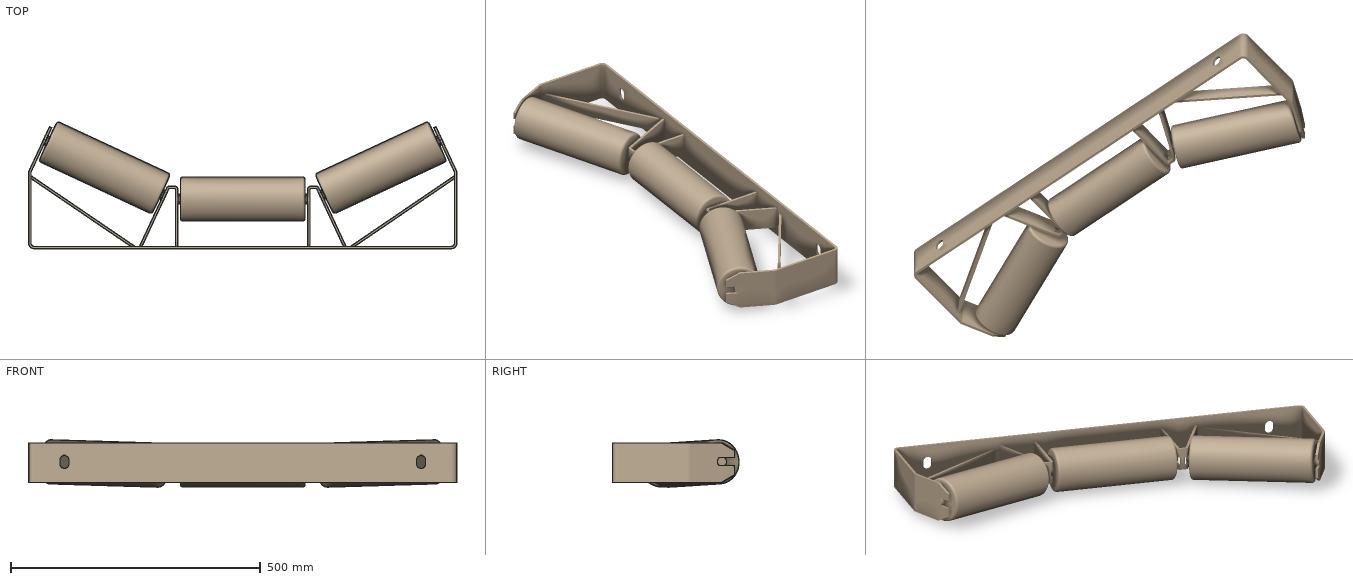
import cadquery as cq
import math

frame_length = 860.0
frame_height = 80.0
strip = 5.0
bend_outer_radius = 12.0
bend_inner_radius = bend_outer_radius - strip

roller_diameter = 89.0
roller_length = 250.0
roller_rounding = 5.0
roller_gap = 5.0
shaft_diameter = 20.0
shaft_flats = 16.0
seat_face = roller_length / 2 + roller_gap
seat_back = seat_face + strip
seat_overrun = 1.0

middle_y = 100.0
middle_z = -4.5
side_x = 277.3
side_y = 162.92
side_z = -1.6
side_swing = 25.0
side_dip = 1.577

wing_tip = 28.0
tip_cut_length = 28.0
tip_cut_height = 15.0

support_height = 45.0
support_top = 126.0
support_bend_outer_radius = 7.0
support_bend_inner_radius = support_bend_outer_radius - strip

brace_height = 30.0
brace_thickness = 5.0
brace_foot_x = 216.0
brace_head_y = 147.0

slot_x = 358.0
slot_z = 1.5
slot_width = 18.0
slot_height = 26.0

frame_end = frame_length / 2
frame_end_inside = frame_end - strip
swing_sin = math.sin(math.radians(side_swing))
swing_cos = math.cos(math.radians(side_swing))
swing_tan = swing_sin / swing_cos


def side_point(along, across):
    """Plan point at a distance outward along the right roller's axis and forward across it."""
    x = side_x + along * swing_cos - across * swing_sin
    y = side_y + along * swing_sin + across * swing_cos
    return (x, y)


def crossing_at_y(along, y):
    """Plan point at the given y on the line that crosses the right roller's axis squarely."""
    x0, y0 = side_point(along, 0)
    return (x0 - (y - y0) * swing_tan, y)


def crossing_at_x(along, x):
    """Plan point at the given x on the line that crosses the right roller's axis squarely."""
    x0, y0 = side_point(along, 0)
    return (x, y0 - (x - x0) / swing_tan)


def upright(outline, height):
    """Plan outline extruded to a height centred on z = 0."""
    return cq.Workplane("XY").polyline(outline).close().extrude(height / 2, both=True)


def round_upright_edge(body, point, radius):
    """Fillet the vertical edge that stands at a plan point."""
    edge = cq.selectors.NearestToPointSelector((*point, 0))
    return body.edges("|Z").edges(edge).fillet(radius)


def place_side(body):
    """Move a body from the X axis onto the right roller's axis."""
    dipped = body.rotate((0, 0, 0), (0, 1, 0), -side_dip)
    swung = dipped.rotate((0, 0, 0), (0, 0, 1), side_swing)
    return swung.translate((side_x, side_y, side_z))


def place_middle(body):
    """Move a body from the X axis onto the middle roller's axis."""
    return body.translate((0, middle_y, middle_z))


def along_x(length):
    """Workplane square to X, placed so that an extrusion of this length is centred on the origin."""
    return cq.Workplane("YZ", origin=(-length / 2, 0, 0))


def shaft(length):
    bar = along_x(length).circle(shaft_diameter / 2).extrude(length)
    flats = cq.Workplane("XY").box(length, shaft_diameter, shaft_flats)
    return bar.intersect(flats)


def roller():
    drum = along_x(roller_length).circle(roller_diameter / 2).extrude(roller_length)
    drum = drum.edges("%CIRCLE").fillet(roller_rounding)
    return drum.union(shaft(2 * seat_back))


def shaft_seat():
    """Room for a shaft that drops into notches open to the front (+Y), cut clean through."""
    length = 2 * (seat_back + seat_overrun)
    reach = roller_diameter
    opening = cq.Workplane("XY").box(length, reach, shaft_flats)
    return shaft(length).union(opening.translate((0, reach / 2, 0)))


def wing_tip_cuts():
    """Prisms that take the upper and lower corners off the right wing."""
    edge_z = frame_height / 2
    x, y = side_point(0, 0)
    along_wing = (-swing_sin, swing_cos, 0)
    roller_axis = (swing_cos, swing_sin, 0)
    across_wing = cq.Plane(origin=(x, y, 0), xDir=along_wing, normal=roller_axis)
    corner = [(wing_tip, edge_z), (wing_tip - tip_cut_length, edge_z), (wing_tip, edge_z - tip_cut_height)]
    upper = cq.Workplane(across_wing).polyline(corner).close().extrude(2 * seat_back)
    return upper.union(upper.mirror("XY"))


def right_strip():
    """Right half of the back plate with its end and wing."""
    corner = (frame_end, 0)
    corner_inside = (frame_end_inside, strip)
    wing_bend = crossing_at_x(seat_back, frame_end)
    wing_bend_inside = crossing_at_x(seat_face, frame_end_inside)
    outline = [
        (0, 0),
        corner,
        wing_bend,
        side_point(seat_back, wing_tip),
        side_point(seat_face, wing_tip),
        wing_bend_inside,
        corner_inside,
        (0, strip),
    ]
    body = upright(outline, frame_height)
    for point in (corner, wing_bend):
        body = round_upright_edge(body, point, bend_outer_radius)
    for point in (corner_inside, wing_bend_inside):
        body = round_upright_edge(body, point, bend_inner_radius)
    slot = cq.Workplane("XZ").center(slot_x, slot_z).slot2D(slot_height, slot_width, 90).extrude(-strip)
    return body.cut(wing_tip_cuts()).cut(slot)


def right_support():
    """Folded strip with one leg beside the middle roller and one beside the right roller."""
    top_inside = support_top - strip
    outer_bends = [(seat_face, support_top), crossing_at_y(-seat_face, support_top)]
    inner_bends = [crossing_at_y(-seat_back, top_inside), (seat_back, top_inside)]
    outline = [
        (seat_face, strip),
        *outer_bends,
        crossing_at_y(-seat_face, strip),
        crossing_at_y(-seat_back, strip),
        *inner_bends,
        (seat_back, strip),
    ]
    body = upright(outline, support_height)
    for point in outer_bends:
        body = round_upright_edge(body, point, support_bend_outer_radius)
    for point in inner_bends:
        body = round_upright_edge(body, point, support_bend_inner_radius)
    return body


def right_brace():
    """Flat bar from the back plate to the frame end."""
    slope = math.atan2(brace_head_y - strip, frame_end_inside - brace_foot_x)
    outline = [
        (brace_foot_x, strip),
        (frame_end_inside, brace_head_y),
        (frame_end_inside, brace_head_y - brace_thickness / math.cos(slope)),
        (brace_foot_x + brace_thickness / math.sin(slope), strip),
    ]
    return upright(outline, brace_height)


def welded_frame():
    """Strip, supports and braces as one body, with open seats for the shafts."""
    right_half = right_strip().union(right_support()).union(right_brace())
    right_half = right_half.cut(place_side(shaft_seat())).cut(place_middle(shaft_seat()))
    return right_half.union(right_half.mirror("YZ"))


frame = welded_frame()
middle_roller = place_middle(roller())
right_roller = place_side(roller())
left_roller = right_roller.mirror("YZ")

result = cq.Compound.makeCompound([frame.val(), middle_roller.val(), right_roller.val(), left_roller.val()])